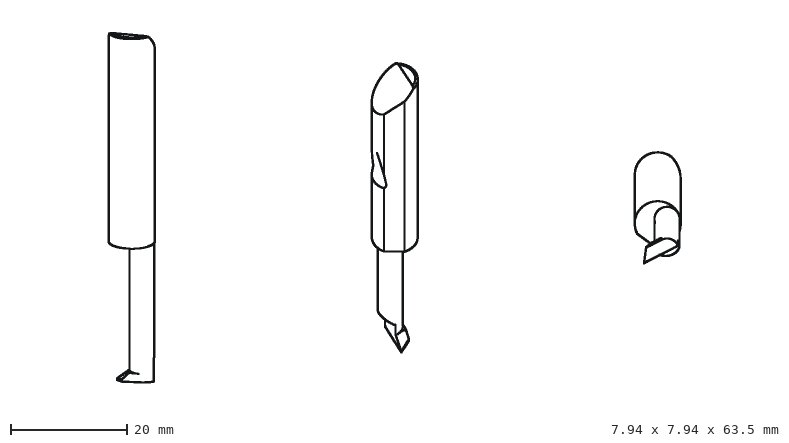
import cadquery as cq
import math

total_length = 63.5
shank_radius = 3.97
shank_bottom = 25.35
rim_width = 0.45
rim_height = 0.2

flat_direction = 154.0
flat_distance = 3.55

bevel_start_y = -2.05

notch_top = 48.8
notch_bottom = 40.45
notch_floor_y = 2.8
notch_corner_radius = 0.9

neck_radius = 2.15
neck_x = shank_radius - neck_radius

rake_height = 4.45
rake_runout = 1.85
tip_x = -2.65
tip_land = 0.25
head_height = 2.2
back_left_x = -1.15
back_corner_height = 0.95
rake_shoulder_x = -0.25
back_shoulder_x = 0.05
end_rise = 0.3
end_relief = 0.45
end_clearance = 0.65


def make_shank():
    half_section = (
        cq.Workplane("XZ")
        .moveTo(0, shank_bottom)
        .lineTo(shank_radius, shank_bottom)
        .lineTo(shank_radius, total_length - rim_height)
        .lineTo(shank_radius - rim_width, total_length)
        .lineTo(0, total_length)
        .close()
    )
    return half_section.revolve(360, (0, 0), (0, 1))


def side_flat_cutter():
    side = 2 * shank_radius
    block = cq.Workplane("XY").box(side, side, total_length, centered=(False, True, False))
    return block.translate((flat_distance, 0, 0)).rotate((0, 0, 0), (0, 0, 1), flat_direction)


def cutter_across_x(profile):
    return profile.close().extrude(shank_radius, both=True)


def bevel_cutter():
    run = 2 * shank_radius
    profile = (
        cq.Workplane("YZ")
        .moveTo(bevel_start_y, total_length)
        .lineTo(bevel_start_y + run, total_length - run)
        .lineTo(bevel_start_y + run, total_length)
    )
    return cutter_across_x(profile)


def notch_cutter():
    corner = notch_corner_radius
    arc_offset = corner * (1 - math.sqrt(0.5))
    profile = (
        cq.Workplane("YZ")
        .moveTo(shank_radius, notch_top)
        .lineTo(notch_floor_y, notch_bottom + corner)
        .threePointArc(
            (notch_floor_y + arc_offset, notch_bottom + arc_offset),
            (notch_floor_y + corner, notch_bottom),
        )
        .lineTo(shank_radius, notch_bottom)
    )
    return cutter_across_x(profile)


def make_neck():
    return cq.Workplane("XY").center(neck_x, 0).circle(neck_radius).extrude(shank_bottom)


def rake_cutter():
    """Clears the +Y half of the neck above the cutting edge."""
    profile = (
        cq.Workplane("YZ")
        .lineTo(0, rake_height)
        .lineTo(neck_radius, rake_height + rake_runout)
        .lineTo(neck_radius, 0)
        .close()
    )
    return profile.extrude(shank_radius, both=True)


def make_head():
    """Hooked tip that narrows from the rake face to its back face."""
    rake_outline = [
        (tip_x, 0),
        (neck_x, 0),
        (neck_x, head_height),
        (rake_shoulder_x, head_height),
        (tip_x, tip_land),
    ]
    back_outline = [
        (back_left_x, 0),
        (neck_x, 0),
        (neck_x, head_height),
        (back_shoulder_x, head_height),
        (back_left_x, back_corner_height),
    ]
    return (
        cq.Workplane("XZ")
        .polyline(rake_outline)
        .close()
        .workplane(offset=neck_radius)
        .polyline(back_outline)
        .close()
        .loft(ruled=True)
    )


def end_relief_cutter():
    """Slopes the lower end up toward +X and away from the rake face."""
    right_x = neck_x + neck_radius

    def end_outline(rise):
        return [
            (tip_x, -end_clearance),
            (right_x, -end_clearance),
            (right_x, rise + end_rise),
            (tip_x, rise),
        ]

    return (
        cq.Workplane("XZ")
        .polyline(end_outline(0))
        .close()
        .workplane(offset=neck_radius)
        .polyline(end_outline(end_relief))
        .close()
        .loft(ruled=True)
    )


shank = make_shank().cut(side_flat_cutter()).cut(bevel_cutter()).cut(notch_cutter())
tool = make_neck().cut(rake_cutter()).union(make_head()).cut(end_relief_cutter())
result = shank.union(tool)